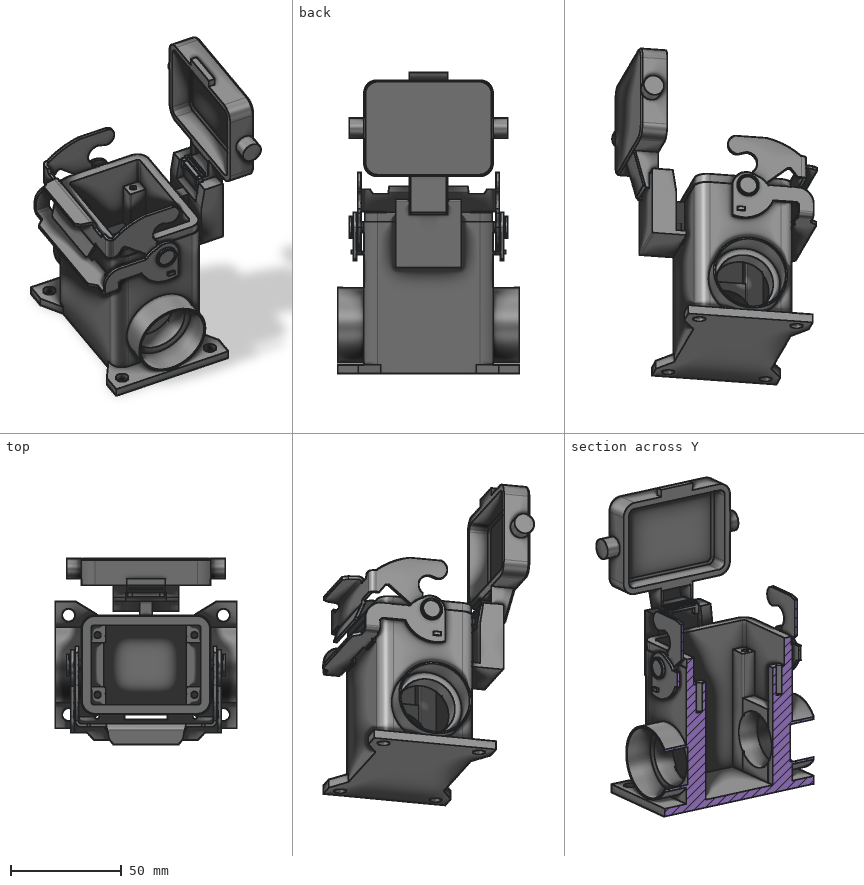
import cadquery as cq

HOUSING_HALF_X = 29.2
HOUSING_HALF_Y = 22.5
HOUSING_TOP = 72.8
RIM_STEP = 0.4
RIM_BOTTOM = 68.7
CORNER_RADIUS = 6.1
CAVITY_HALF_X = 24.8
CAVITY_HALF_Y = 18.0
CAVITY_RADIUS = 1.4

FOOT_THICKNESS = 4.0
OVERALL_X = 82.0
FOOT_HALF_X = OVERALL_X / 2
FOOT_HALF_Y = 28.7
FOOT_TIP_X = 31.8
FOOT_ROOT_X = 21.6
FOOT_HOLE_X = 35.0
FOOT_HOLE_Y = 22.5
FOOT_HOLE_RADIUS = 2.9

TUBE_Z = 21.9
TUBE_RADIUS = 17.0
TUBE_INNER_RADIUS = 16.2
TUBE_SHOULDER_X = 28.3
BORE_RADIUS = 13.0

POST_TOP = 59.8
POST_INNER_X = 18.2
POST_INNER_Y = 9.9
POST_ROUND = 0.7
POST_HOLE_X = 21.9
POST_HOLE_Y = 13.5
POST_HOLE_RADIUS = 1.5
POST_HOLE_DEPTH = 13.6
LEFT_LEDGE_INNER_X = 19.2
LEDGE_TOP = TUBE_Z + TUBE_RADIUS

PIVOT_Z = 66.1
PIVOT_RADIUS = 2.5
PIVOT_HEAD_RADIUS = 4.9
PIVOT_HEAD_X = 34.7
PIN_END_X = 35.9
HEAD_RECESS_RADIUS = 4.1
HEAD_RECESS_DEPTH = 0.4

SHEET = 1.5
HOOK_OUTER_X = 32.0
LEVER_OUTER_X = 34.0

COVER_HALF_X = 29.2
COVER_FRONT_Y = 35.9
COVER_BACK_Y = 48.1
COVER_BOTTOM = 89.1
COVER_TOP = 132.6
COVER_WALL = 2.9
COVER_FLOOR = 2.5
COVER_EDGE_CHAMFER = 0.8
COVER_FLOOR_CHAMFER = 1.1
COVER_PIN_RADIUS = 4.6
COVER_TAB_HALF_X = 8.7
COVER_TAB_DEPTH = 3.0
TOTAL_HEIGHT = 136.0

ARM_WALL = 1.1
ARM_TOP = COVER_BOTTOM + 1.4
ARM_BOTTOM = 71.8
ARM_HEEL_Y = 41.5
ARM_BACK_LOW_Y = 42.7
ARM_BACK_LOW_Z = 72.9
ARM_BACK_HIGH_Y = 47.6
ARM_SLOT_TOP = 87.7
ARM_CHAMFER = 0.7
RIDGE_TOP = 81.2
RIDGE_HEIGHT = 0.7
RIDGE_FRONT_Y = 33.9
PANEL_Y = 32.6
NUB_INNER_X = 6.3
NUB_OUTER_X = 8.3
NUB_FRONT_Y = 30.7
LIP_BOTTOM = 78.3
LIP_TOP = 79.7
NUB_BOTTOM = 75.3
NUB_TOP = 80.1
BRACKET_HALF_X = 14.8
BRACKET_SLOT_HALF_X = 9.2
BRACKET_SLOT_FLOOR = 68.4
BRACKET_FACE_Y = 28.8
BRACKET_TOP_FACE_Y = 30.5
BRACKET_BACK_Y = 40.0
BRACKET_TOP = 78.7
BRACKET_BOTTOM = 47.7
BRACKET_ROUND = 0.7
BRACKET_FOOT_Y = 24.2
BRACKET_FOOT_TOP = 49.8
NECK_HALF_X = 2.9
NECK_TOP = 68.1
GUSSET_RADIUS = 7.9


def box(x_range, y_range, z_range):
    """Axis-aligned block from its three coordinate ranges."""
    (x0, x1), (y0, y1), (z0, z1) = x_range, y_range, z_range
    return cq.Workplane("XY").box(x1 - x0, y1 - y0, z1 - z0, centered=False).translate((x0, y0, z0))


def x_cylinder(radius, x0, x1, y, z):
    """Cylinder along X."""
    return cq.Workplane("YZ", origin=(x0, y, z)).circle(radius).extrude(x1 - x0)


def both_sides(solid):
    """The solid together with its mirror image across the YZ plane."""
    return solid.union(solid.mirror("YZ"))


def rounded_column(half_x, half_y, z0, z1, radius):
    """Upright block centred on Z with rounded vertical edges."""
    return box((-half_x, half_x), (-half_y, half_y), (z0, z1)).edges("|Z").fillet(radius)


def make_foot():
    """Half of the base plate on the +X side, with its two screw holes."""
    outline = [
        (0, HOUSING_HALF_Y), (FOOT_ROOT_X, HOUSING_HALF_Y), (FOOT_TIP_X, FOOT_HALF_Y),
        (FOOT_HALF_X, FOOT_HALF_Y), (FOOT_HALF_X, -FOOT_HALF_Y), (FOOT_TIP_X, -FOOT_HALF_Y),
        (FOOT_ROOT_X, -HOUSING_HALF_Y), (0, -HOUSING_HALF_Y),
    ]
    foot = cq.Workplane("XY").polyline(outline).close().extrude(FOOT_THICKNESS)
    holes = (
        cq.Workplane("XY")
        .pushPoints([(FOOT_HOLE_X, FOOT_HOLE_Y), (FOOT_HOLE_X, -FOOT_HOLE_Y)])
        .circle(FOOT_HOLE_RADIUS)
        .extrude(FOOT_THICKNESS)
    )
    return foot.cut(holes)


def make_housing():
    body = rounded_column(HOUSING_HALF_X, HOUSING_HALF_Y, 0, RIM_BOTTOM, CORNER_RADIUS)
    rim_x = HOUSING_HALF_X - RIM_STEP
    rim_y = HOUSING_HALF_Y - RIM_STEP
    rim = rounded_column(rim_x, rim_y, RIM_BOTTOM, HOUSING_TOP, CORNER_RADIUS - RIM_STEP)
    cavity = rounded_column(CAVITY_HALF_X, CAVITY_HALF_Y, FOOT_THICKNESS, HOUSING_TOP, CAVITY_RADIUS)

    post = box((POST_INNER_X, CAVITY_HALF_X), (POST_INNER_Y, CAVITY_HALF_Y), (FOOT_THICKNESS, POST_TOP))
    post = post.edges("|Z and <X and <Y").fillet(POST_ROUND)
    post_hole = (
        cq.Workplane("XY", origin=(POST_HOLE_X, POST_HOLE_Y, POST_TOP))
        .circle(POST_HOLE_RADIUS)
        .extrude(-POST_HOLE_DEPTH)
    )
    post = post.cut(post_hole)
    posts = both_sides(post.union(post.mirror("XZ")))
    ledge_y = (-POST_INNER_Y, POST_INNER_Y)
    ledge_z = (FOOT_THICKNESS, LEDGE_TOP)
    left_ledge = box((-CAVITY_HALF_X, -LEFT_LEDGE_INNER_X), ledge_y, ledge_z)
    right_ledge = box((POST_INNER_X, CAVITY_HALF_X), ledge_y, ledge_z)
    inserts = posts.union(left_ledge).union(right_ledge)

    tubes = both_sides(x_cylinder(TUBE_RADIUS, CAVITY_HALF_X, FOOT_HALF_X, 0, TUBE_Z))
    mouths = both_sides(x_cylinder(TUBE_INNER_RADIUS, TUBE_SHOULDER_X, FOOT_HALF_X, 0, TUBE_Z))
    bore = x_cylinder(BORE_RADIUS, -FOOT_HALF_X, FOOT_HALF_X, 0, TUBE_Z)

    shell = body.union(rim).union(both_sides(make_foot())).union(tubes)
    return shell.cut(cavity).cut(mouths).union(inserts).cut(bore)


def make_pivots():
    pin = x_cylinder(PIVOT_RADIUS, CAVITY_HALF_X, PIN_END_X, 0, PIVOT_Z)
    head = x_cylinder(PIVOT_HEAD_RADIUS, PIVOT_HEAD_X, PIN_END_X, 0, PIVOT_Z)
    recess = x_cylinder(HEAD_RECESS_RADIUS, PIN_END_X - HEAD_RECESS_DEPTH, PIN_END_X, 0, PIVOT_Z)
    return both_sides(pin.union(head).cut(recess))


HOOK_FRONT_Y = -28.0
HOOK_BEND = 2.9
BAND_BEND = 2.7
BAND_BOTTOM = 73.2
BAND_TOP = 83.4
BAND_NOTCH_DEPTH = 2.0
BAND_NOTCH_X = 25.2
BAND_NOTCH_OUTER_X = 26.5
HOOK_TAB_HALF_X = 18.1
HOOK_TAB_TOP = 84.7
HOOK_TAB_SHOULDER_X = 16.6
HOOK_TAB_SHOULDER_Y = -33.7
HOOK_TAB_TIP_X = 14.7
HOOK_TAB_TIP_Y = -36.0
TONGUE_TOP = 71.5
TONGUE_BOTTOM = 64.0
TONGUE_LEAN = 3.0
TONGUE_ROOT_X = 19.3
TONGUE_SHOULDER_X = 17.1
TONGUE_SHOULDER_Z = 65.1
TONGUE_TIP_X = 16.2


def make_hook_plate():
    """Hook on the +X side, from its rounded pivot end up to the open pin slot."""
    hook_start = HOOK_OUTER_X - SHEET
    bend_y = HOOK_FRONT_Y + HOOK_BEND
    return (
        cq.Workplane("YZ", origin=(hook_start, 0, 0))
        .moveTo(bend_y, BAND_TOP)
        .threePointArc((-17.7, 88.1), (-9.2, 90.8))
        .lineTo(5.5, 90.8)
        .threePointArc((8.5, 86.5), (4.1, 82.1))
        .threePointArc((2.2, 82.7), (0, 83.4))
        .threePointArc((-5.0, 78.3), (-3.1, 74.4))
        .lineTo(-3.1, 72.4)
        .lineTo(6.0, PIVOT_Z)
        .lineTo(6.0, 61.6)
        .threePointArc((0, 55.6), (-6.0, 61.6))
        .lineTo(-9.0, 69.0)
        .lineTo(-19.0, 77.1)
        .lineTo(-20.4, 77.1)
        .lineTo(-23.5, BAND_BOTTOM)
        .lineTo(bend_y, BAND_BOTTOM)
        .close()
        .extrude(SHEET)
    )


def make_hook_band():
    y_range = (HOOK_FRONT_Y, HOOK_FRONT_Y + HOOK_BEND)
    inner_x = HOOK_OUTER_X - SHEET
    outer = box((-HOOK_OUTER_X, HOOK_OUTER_X), y_range, (BAND_BOTTOM, BAND_TOP))
    outer = outer.edges("|Z and <Y").fillet(BAND_BEND)
    inner = box((-inner_x, inner_x), (HOOK_FRONT_Y + SHEET, y_range[1]), (BAND_BOTTOM, BAND_TOP))
    inner = inner.edges("|Z and <Y").fillet(BAND_BEND - SHEET)
    notch_floor = BAND_TOP - BAND_NOTCH_DEPTH
    notch = (
        cq.Workplane("XZ", origin=(0, y_range[1], 0))
        .polyline([
            (0, BAND_TOP), (0, notch_floor),
            (BAND_NOTCH_X, notch_floor), (BAND_NOTCH_OUTER_X, BAND_TOP),
        ])
        .close()
        .extrude(HOOK_BEND)
    )
    return outer.cut(inner).cut(both_sides(notch))


def make_hook_tab():
    """Finger tab bent forward from the top of the band."""
    back_y = HOOK_FRONT_Y + SHEET
    half_x = HOOK_TAB_HALF_X
    profile = [
        (back_y, BAND_BOTTOM), (back_y, HOOK_TAB_TOP), (HOOK_TAB_TIP_Y, HOOK_TAB_TOP),
        (HOOK_TAB_TIP_Y, HOOK_TAB_TOP - SHEET), (HOOK_FRONT_Y, HOOK_TAB_TOP - SHEET),
        (HOOK_FRONT_Y, BAND_BOTTOM),
    ]
    sheet = cq.Workplane("YZ", origin=(-half_x, 0, 0)).polyline(profile).close().extrude(2 * half_x)
    sheet = sheet.edges("|X and >Y and >Z").fillet(HOOK_BEND)
    inner_corner = (0, HOOK_FRONT_Y, HOOK_TAB_TOP - SHEET)
    sheet = sheet.edges(cq.selectors.NearestToPointSelector(inner_corner)).fillet(HOOK_BEND - SHEET)

    half = [(half_x, back_y), (HOOK_TAB_SHOULDER_X, HOOK_TAB_SHOULDER_Y), (HOOK_TAB_TIP_X, HOOK_TAB_TIP_Y)]
    outline = half + [(-x, y) for x, y in reversed(half)]
    trim = cq.Workplane("XY", origin=(0, 0, BAND_BOTTOM)).polyline(outline).close()
    trim = trim.extrude(HOOK_TAB_TOP - BAND_BOTTOM)
    return sheet.intersect(trim)


def make_hook_tongue():
    """Tongue that leans forward below the band."""
    back_y = HOOK_FRONT_Y + SHEET
    sheet = (
        cq.Workplane("YZ", origin=(-HOOK_OUTER_X, 0, 0))
        .polyline([
            (HOOK_FRONT_Y, BAND_BOTTOM), (back_y, BAND_BOTTOM), (back_y, TONGUE_TOP),
            (back_y - TONGUE_LEAN, TONGUE_BOTTOM), (HOOK_FRONT_Y - TONGUE_LEAN, TONGUE_BOTTOM),
            (HOOK_FRONT_Y, TONGUE_TOP),
        ])
        .close()
        .extrude(2 * HOOK_OUTER_X)
    )
    half = [
        (TONGUE_ROOT_X, BAND_BOTTOM), (TONGUE_SHOULDER_X, TONGUE_SHOULDER_Z), (TONGUE_TIP_X, TONGUE_BOTTOM),
    ]
    outline = half + [(-x, z) for x, z in reversed(half)]
    trim = cq.Workplane("XZ").polyline(outline).close().extrude(2 * FOOT_HALF_Y)
    return sheet.intersect(trim)


def make_hook_latch():
    latch = both_sides(make_hook_plate()).union(make_hook_band())
    return latch.union(make_hook_tab()).union(make_hook_tongue())


ARM_NECK_Y = -23.8
ARM_TIP_Y = -30.6
ARM_END_Z = 56.7
DIMPLE_HEIGHT = 1.0
DIMPLE_Y = (1.2, 4.6)
DIMPLE_Z = (54.1, 55.8)
HANDLE_BOTTOM = 53.7
HANDLE_BEND = 2.5
HANDLE_TIP_Y = -34.0
HANDLE_STEP_X = 26.7
HANDLE_TIP_X = 23.4
HANDLE_INNER_Y = -23.4
HANDLE_SLOT_HALF_X = 9.7
HANDLE_SLOT_Y = -24.6
RELIEF_X = 22.2
RELIEF_RADIUS = 1.0
STOP_OUTER_X = 21.2
STOP_BOTTOM = 52.8
STOP_BEND = 0.8


def make_lever_arm():
    """Arm on the +X side: a skirted hub, a straight shank and a turned-down end."""
    plate = (
        cq.Workplane("YZ", origin=(LEVER_OUTER_X - SHEET, 0, 0))
        .moveTo(6.8, PIVOT_Z)
        .lineTo(6.8, 51.8)
        .threePointArc((-4.8, 52.6), (-12.0, 60.2))
        .lineTo(-22.7, 60.2)
        .lineTo(ARM_NECK_Y, 59.2)
        .lineTo(ARM_NECK_Y, ARM_END_Z)
        .lineTo(ARM_TIP_Y, ARM_END_Z)
        .lineTo(ARM_TIP_Y, 59.8)
        .threePointArc((-28.4, 65.1), (-23.1, 67.3))
        .lineTo(-9.7, 67.3)
        .threePointArc((-7.3, 69.8), (-4.1, 71.5))
        .threePointArc((1.1, PIVOT_Z + 6.8), (6.8, PIVOT_Z))
        .close()
        .extrude(SHEET)
    )
    dimple = box((LEVER_OUTER_X, LEVER_OUTER_X + DIMPLE_HEIGHT), DIMPLE_Y, DIMPLE_Z)
    return plate.union(dimple)


def make_handle():
    inner_x = LEVER_OUTER_X - SHEET
    y_range = (ARM_TIP_Y, ARM_NECK_Y)
    outer = box((-LEVER_OUTER_X, LEVER_OUTER_X), y_range, (HANDLE_BOTTOM, ARM_END_Z))
    outer = outer.edges("|Y and <Z").fillet(HANDLE_BEND)
    inner = box((-inner_x, inner_x), y_range, (HANDLE_BOTTOM + SHEET, ARM_END_Z))
    inner = inner.edges("|Y and <Z").fillet(HANDLE_BEND - SHEET)

    half = [
        (inner_x - HANDLE_BEND, HANDLE_INNER_Y), (inner_x - HANDLE_BEND, ARM_TIP_Y),
        (HANDLE_STEP_X, ARM_TIP_Y), (HANDLE_TIP_X, HANDLE_TIP_Y),
    ]
    outline = half + [(-x, y) for x, y in reversed(half)]
    plate = cq.Workplane("XY", origin=(0, 0, HANDLE_BOTTOM)).polyline(outline).close().extrude(SHEET)
    reliefs = (
        cq.Workplane("XY", origin=(0, 0, HANDLE_BOTTOM))
        .pushPoints([(RELIEF_X, HANDLE_INNER_Y), (-RELIEF_X, HANDLE_INNER_Y)])
        .circle(RELIEF_RADIUS)
        .extrude(SHEET)
    )
    slot = box(
        (-HANDLE_SLOT_HALF_X, HANDLE_SLOT_HALF_X), (HANDLE_SLOT_Y, HANDLE_INNER_Y),
        (HANDLE_BOTTOM, HANDLE_BOTTOM + SHEET),
    )
    stop = box(
        (HANDLE_SLOT_HALF_X, STOP_OUTER_X),
        (HANDLE_INNER_Y, -HOUSING_HALF_Y),
        (STOP_BOTTOM, HANDLE_BOTTOM + SHEET),
    )
    stop = stop.edges("|X and >Y and >Z").fillet(STOP_BEND)
    return outer.cut(inner).union(plate).cut(reliefs).cut(slot).union(both_sides(stop))


def make_lever_latch():
    return both_sides(make_lever_arm()).union(make_handle())


def make_cover():
    shell = box((-COVER_HALF_X, COVER_HALF_X), (COVER_FRONT_Y, COVER_BACK_Y), (COVER_BOTTOM, COVER_TOP))
    shell = shell.edges("|Y").fillet(CORNER_RADIUS).faces(">Y").edges().chamfer(COVER_EDGE_CHAMFER)

    hollow_x = COVER_HALF_X - COVER_WALL
    hollow = box(
        (-hollow_x, hollow_x),
        (COVER_FRONT_Y, COVER_BACK_Y - COVER_FLOOR),
        (COVER_BOTTOM + COVER_WALL, COVER_TOP - COVER_WALL),
    )
    hollow = hollow.edges("|Y").fillet(CORNER_RADIUS - COVER_WALL)
    hollow = hollow.faces(">Y").edges().chamfer(COVER_FLOOR_CHAMFER)
    shell = shell.cut(hollow)

    tab = box(
        (-COVER_TAB_HALF_X, COVER_TAB_HALF_X),
        (COVER_FRONT_Y, COVER_FRONT_Y + COVER_TAB_DEPTH),
        (COVER_TOP - COVER_WALL, TOTAL_HEIGHT),
    )
    pin_y = COVER_BACK_Y - COVER_PIN_RADIUS
    pin_z = (COVER_BOTTOM + COVER_TOP) / 2
    pin = x_cylinder(COVER_PIN_RADIUS, COVER_HALF_X, PIN_END_X, pin_y, pin_z)
    return shell.union(tab).union(both_sides(pin))


def make_hinge_arm():
    """Channel hanging from the cover, with the block that sits in the bracket."""
    def profile(back_offset):
        return [
            (COVER_FRONT_Y, ARM_TOP), (COVER_FRONT_Y, ARM_BOTTOM), (ARM_HEEL_Y, ARM_BOTTOM),
            (ARM_BACK_LOW_Y - back_offset, ARM_BACK_LOW_Z), (ARM_BACK_HIGH_Y - back_offset, ARM_TOP),
        ]
    half = COVER_TAB_HALF_X
    arm = cq.Workplane("YZ", origin=(-half, 0, 0)).polyline(profile(0)).close().extrude(2 * half)
    slot_half = half - ARM_WALL
    slot = cq.Workplane("YZ", origin=(-slot_half, 0, 0)).polyline(profile(ARM_WALL)).close()
    slot = slot.extrude(2 * slot_half)
    slot = slot.intersect(box((-half, half), (0, COVER_BACK_Y), (0, ARM_SLOT_TOP)))
    back_middle = (0, (ARM_BACK_LOW_Y + ARM_BACK_HIGH_Y) / 2, (ARM_BACK_LOW_Z + ARM_TOP) / 2)
    arm = arm.faces(cq.selectors.NearestToPointSelector(back_middle)).edges("not |X").chamfer(ARM_CHAMFER)
    block = box(
        (-BRACKET_SLOT_HALF_X, BRACKET_SLOT_HALF_X),
        (PANEL_Y, BRACKET_BACK_Y),
        (BRACKET_SLOT_FLOOR, BRACKET_TOP),
    )
    ledge_top = RIDGE_TOP - RIDGE_HEIGHT
    ledge = box((-half, half), (RIDGE_FRONT_Y - ARM_WALL, ARM_HEEL_Y), (BRACKET_TOP, ledge_top))
    ridge_y = (RIDGE_FRONT_Y, RIDGE_FRONT_Y + ARM_WALL)
    ridge = box((-slot_half, slot_half), ridge_y, (BRACKET_TOP, RIDGE_TOP))
    nub = box((NUB_INNER_X, NUB_OUTER_X), (NUB_FRONT_Y, PANEL_Y + ARM_WALL), (NUB_BOTTOM, NUB_TOP))
    lip = box((-NUB_INNER_X, NUB_INNER_X), (NUB_FRONT_Y, PANEL_Y + ARM_WALL), (LIP_BOTTOM, LIP_TOP))
    return arm.cut(slot).union(block).union(ledge).union(ridge).union(both_sides(nub)).union(lip)


def make_bracket():
    outline = [
        (BRACKET_BACK_Y, BRACKET_BOTTOM), (BRACKET_BACK_Y, BRACKET_TOP), (BRACKET_TOP_FACE_Y, BRACKET_TOP),
        (BRACKET_FACE_Y, BRACKET_SLOT_FLOOR), (BRACKET_FACE_Y, BRACKET_BOTTOM),
    ]
    half = BRACKET_HALF_X
    ears = cq.Workplane("YZ", origin=(-half, 0, 0)).polyline(outline).close().extrude(2 * half)
    ears = ears.edges("|X and >Y").fillet(BRACKET_ROUND)
    slot = box(
        (-BRACKET_SLOT_HALF_X, BRACKET_SLOT_HALF_X), (0, BRACKET_BACK_Y), (BRACKET_SLOT_FLOOR, BRACKET_TOP)
    )
    foot = box((-half, half), (BRACKET_FOOT_Y, BRACKET_FACE_Y), (BRACKET_BOTTOM, BRACKET_FOOT_TOP))
    neck = box(
        (-NECK_HALF_X, NECK_HALF_X), (CAVITY_HALF_Y, BRACKET_FACE_Y), (BRACKET_FOOT_TOP, NECK_TOP)
    )
    gusset_x = NECK_HALF_X + GUSSET_RADIUS
    gusset_z = BRACKET_FOOT_TOP + GUSSET_RADIUS
    gusset_depth = BRACKET_FACE_Y - BRACKET_FOOT_Y
    gusset = box((NECK_HALF_X, gusset_x), (BRACKET_FOOT_Y, BRACKET_FACE_Y), (BRACKET_FOOT_TOP, gusset_z))
    hollow = cq.Workplane("XZ", origin=(gusset_x, BRACKET_FACE_Y, gusset_z)).circle(GUSSET_RADIUS)
    hollow = hollow.extrude(gusset_depth)
    return ears.cut(slot).union(foot).union(neck).union(both_sides(gusset.cut(hollow)))


result = (
    make_housing()
    .union(make_pivots())
    .union(make_hook_latch())
    .union(make_lever_latch())
    .union(make_cover())
    .union(make_hinge_arm())
    .union(make_bracket())
)